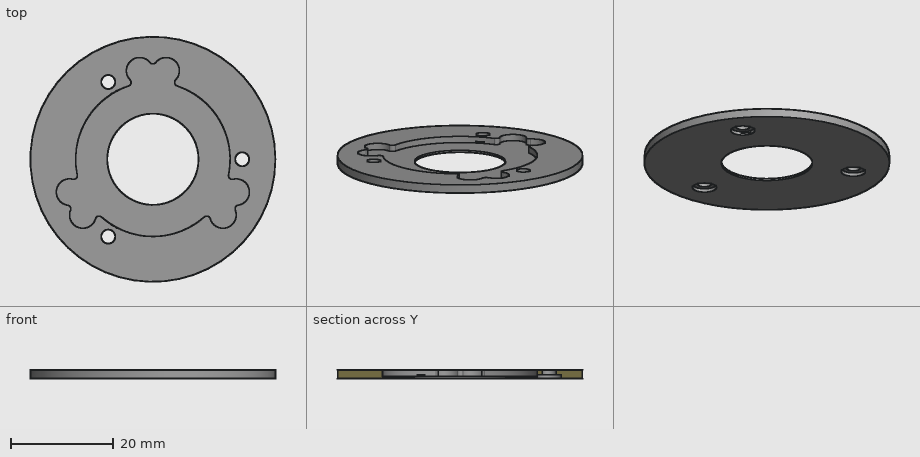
import cadquery as cq
import math

disc_diameter = 48.0
disc_thickness = 1.7
bore_diameter = 17.8

floor_thickness = 0.45
recess_depth = disc_thickness - floor_thickness
recess_radius = 15.1
lobe_radius = 2.6
lobe_half_spacing = 2.6
lobe_center_height = 17.35
blend_radius = 0.7

hole_diameter = 2.7
hole_circle_radius = 17.45
counterbore_diameter = 4.7
counterbore_depth = 0.7

repeat_angles = (0, 120, 240)


def along(start, end, distance):
    """Point at a given distance from start, in the direction of end."""
    ratio = distance / math.dist(start, end)
    return tuple(a + (b - a) * ratio for a, b in zip(start, end))


def mirrored(point):
    """Point reflected across the Y axis."""
    return (-point[0], point[1])


def lobe_pair_arcs():
    """Middle and end points of the arcs around one lobe pair, from right to left."""
    origin = (0, 0)
    lobe_center = (lobe_half_spacing, lobe_center_height)
    lobe_distance = math.hypot(*lobe_center)
    lobe_angle = math.atan2(lobe_center_height, lobe_half_spacing)

    root_distance = recess_radius + blend_radius
    tangent_distance = lobe_radius + blend_radius
    side_squares = root_distance**2 + lobe_distance**2 - tangent_distance**2
    root_cosine = side_squares / (2 * root_distance * lobe_distance)
    root_angle = lobe_angle - math.acos(root_cosine)
    root_center = (root_distance * math.cos(root_angle), root_distance * math.sin(root_angle))

    cusp_rise = math.sqrt(tangent_distance**2 - lobe_half_spacing**2)
    cusp_center = (0, lobe_center_height + cusp_rise)

    root_start = along(origin, root_center, recess_radius)
    root_end = along(lobe_center, root_center, lobe_radius)
    root_chord_middle = tuple((a + b) / 2 for a, b in zip(root_start, root_end))
    root_middle = along(root_center, root_chord_middle, blend_radius)
    lobe_middle = along(origin, lobe_center, lobe_distance + lobe_radius)
    lobe_end = along(lobe_center, cusp_center, lobe_radius)
    cusp_middle = (0, cusp_center[1] - blend_radius)

    arcs = [
        (root_middle, root_end),
        (lobe_middle, lobe_end),
        (cusp_middle, mirrored(lobe_end)),
        (mirrored(lobe_middle), mirrored(root_end)),
        (mirrored(root_middle), mirrored(root_start)),
    ]
    return root_start, arcs


def turned(point, degrees):
    """Point rotated about the disc axis."""
    angle = math.radians(degrees)
    x, y = point
    return (
        x * math.cos(angle) - y * math.sin(angle),
        x * math.sin(angle) + y * math.cos(angle),
    )


def recess():
    """Round recess with three blended lobe pairs."""
    start, arcs = lobe_pair_arcs()
    pitch = 360 / len(repeat_angles)
    rim_middle = turned((0, recess_radius), pitch / 2)
    outline = cq.Workplane("XY").workplane(offset=floor_thickness).moveTo(*start)
    for angle in repeat_angles:
        for middle, end in arcs:
            outline = outline.threePointArc(turned(middle, angle), turned(end, angle))
        outline = outline.threePointArc(turned(rim_middle, angle), turned(start, angle + pitch))
    return outline.close().extrude(recess_depth)


def screw_holes():
    """Through holes evenly spaced around the disc, counterbored from the bottom face."""
    centers = [turned((hole_circle_radius, 0), angle) for angle in repeat_angles]
    spots = cq.Workplane("XY").pushPoints(centers)
    shanks = spots.circle(hole_diameter / 2).extrude(disc_thickness)
    heads = spots.circle(counterbore_diameter / 2).extrude(counterbore_depth)
    return shanks.union(heads)


disc = cq.Workplane("XY").circle(disc_diameter / 2).extrude(disc_thickness)
bore = cq.Workplane("XY").circle(bore_diameter / 2).extrude(disc_thickness)

result = disc.cut(bore).cut(recess()).cut(screw_holes())